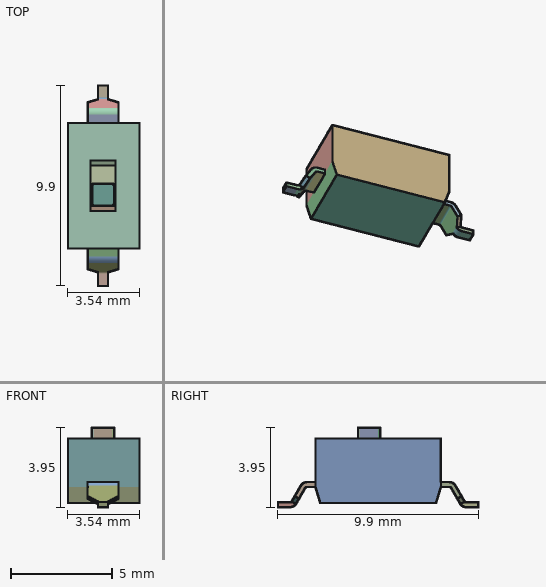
import cadquery as cq
import math


body_width = 3.54
body_length = 6.2
body_height = 3.2
body_bottom = 0.2
body_top = body_bottom + body_height
body_offset_x = 0.03
end_bevel_height = 0.8
end_bevel_inset = 0.24

window_width = 1.22
window_length = 2.5
rim_length = 0.25
rim_depth = 0.1
well_length = window_length - 2 * rim_length
well_depth = 0.27

knob_width = 1.12
knob_length = 1.11
knob_rise = 0.55
knob_corner_radius = 0.1
knob_top_bevel = 0.03
knob_center_y = (knob_length - well_length) / 2

span = 9.9
sheet = 0.25
lead_width = 1.53
foot_width = 0.5
foot_length = 0.6
shoulder_top = 1.25
slope_angle = math.radians(60)
bend_inner_radius = 0.1
bend_outer_radius = bend_inner_radius + sheet
shoulder_embed = 0.3
taper_length = 0.31
taper_start_z = 0.55


def make_body():
    half = body_length / 2
    profile = [
        (-half + end_bevel_inset, body_bottom),
        (half - end_bevel_inset, body_bottom),
        (half, body_bottom + end_bevel_height),
        (half, body_top),
        (-half, body_top),
        (-half, body_bottom + end_bevel_height),
    ]
    return (
        cq.Workplane("YZ", origin=(body_offset_x, 0, 0))
        .polyline(profile)
        .close()
        .extrude(body_width / 2, both=True)
    )


def make_window_pocket(length, depth):
    return (
        cq.Workplane("XY", origin=(0, 0, body_top - depth))
        .rect(window_width, length)
        .extrude(depth)
    )


def make_knob():
    return (
        cq.Workplane("XY", origin=(0, knob_center_y, body_top - well_depth))
        .rect(knob_width, knob_length)
        .extrude(well_depth + knob_rise)
        .edges("|Z")
        .fillet(knob_corner_radius)
        .faces(">Z")
        .edges()
        .chamfer(knob_top_bevel)
    )


def make_lead():
    """Lead on the +Y end: shoulder, slope and foot, narrowed towards the foot."""
    tip = span / 2
    foot_corner = tip - foot_length - bend_inner_radius * math.tan(slope_angle / 2)
    shoulder_corner = foot_corner - (shoulder_top - sheet) / math.tan(slope_angle)
    lower_shift = sheet * math.tan(slope_angle / 2)
    shoulder_start = body_length / 2 - shoulder_embed

    upper_bend = (shoulder_corner, shoulder_top)
    upper_bend_under = (shoulder_corner - lower_shift, shoulder_top - sheet)
    lower_bend = (foot_corner, sheet)
    lower_bend_under = (foot_corner - lower_shift, 0)
    profile = [
        (shoulder_start, shoulder_top),
        upper_bend,
        lower_bend,
        (tip, sheet),
        (tip, 0),
        lower_bend_under,
        upper_bend_under,
        (shoulder_start, shoulder_top - sheet),
    ]
    lead = (
        cq.Workplane("YZ")
        .polyline(profile)
        .close()
        .extrude(lead_width / 2, both=True)
    )
    bends = [
        (upper_bend, bend_outer_radius),
        (upper_bend_under, bend_inner_radius),
        (lower_bend, bend_inner_radius),
        (lower_bend_under, bend_outer_radius),
    ]
    for (y, z), radius in bends:
        bend_edge = cq.selectors.NearestToPointSelector((0, y, z))
        lead = lead.edges("|X").edges(bend_edge).fillet(radius)

    taper_start_y = foot_corner - (taper_start_z - sheet) / math.tan(slope_angle)
    slope_plane = cq.Plane(
        origin=(0, taper_start_y, taper_start_z),
        xDir=(-1, 0, 0),
        normal=(0, math.sin(slope_angle), math.cos(slope_angle)),
    )
    for side in (-1, 1):
        trim = (
            cq.Workplane(slope_plane)
            .moveTo(side * lead_width / 2, 0)
            .lineTo(side * foot_width / 2, -taper_length)
            .lineTo(side * foot_width / 2, -tip)
            .lineTo(side * lead_width / 2, -tip)
            .close()
            .extrude(tip, both=True)
        )
        lead = lead.cut(trim)
    return lead


body = make_body()
body = body.cut(make_window_pocket(window_length, rim_depth))
body = body.cut(make_window_pocket(well_length, well_depth))

lead = make_lead()
result = body.union(make_knob()).union(lead).union(lead.mirror("XZ"))